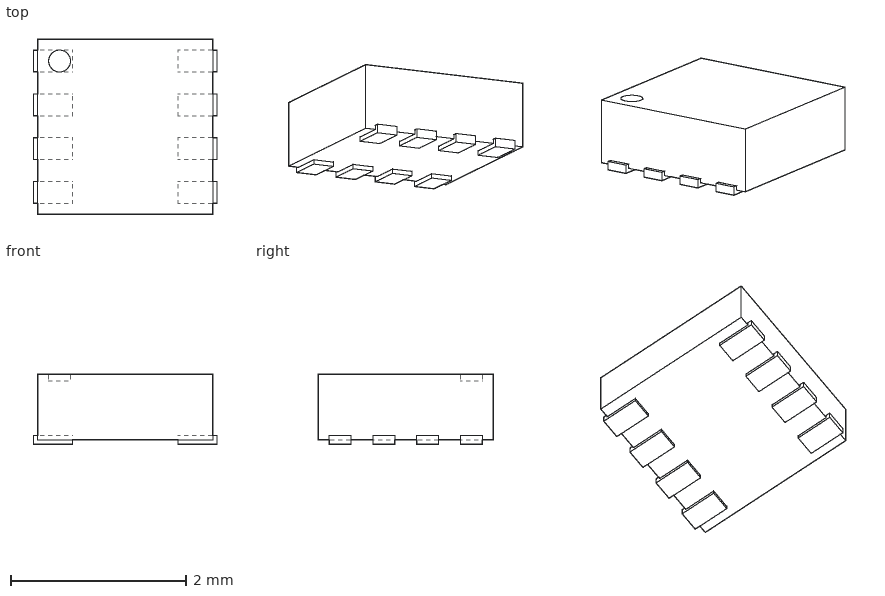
import cadquery as cq

overall_length = 2.1
body_side = 2.0
overall_height = 0.8
standoff = 0.05
body_height = overall_height - standoff

lead_length = 0.45
lead_width = 0.25
lead_height = 0.1
lead_pitch = 0.5
leads_per_side = 4

mark_diameter = 0.25
mark_depth = 0.075
mark_offset = lead_pitch * (leads_per_side - 1) / 2

lead_center_x = (overall_length - lead_length) / 2
lead_positions = [
    (side * lead_center_x, (index - (leads_per_side - 1) / 2) * lead_pitch)
    for side in (-1, 1)
    for index in range(leads_per_side)
]


def make_lead(x, y):
    """Flat rectangular lead resting on the seating plane."""
    return (
        cq.Workplane("XY")
        .center(x, y)
        .rect(lead_length, lead_width)
        .extrude(lead_height)
    )


def make_body(leads):
    """Square block with a round pin-one recess and a pocket for each lead."""
    body = (
        cq.Workplane("XY")
        .workplane(offset=standoff)
        .rect(body_side, body_side)
        .extrude(body_height)
    )
    mark = (
        cq.Workplane("XY")
        .workplane(offset=overall_height - mark_depth)
        .center(-mark_offset, mark_offset)
        .circle(mark_diameter / 2)
        .extrude(mark_depth)
    )
    body = body.cut(mark)
    for lead in leads:
        body = body.cut(lead)
    return body


leads = [make_lead(x, y) for x, y in lead_positions]
body = make_body(leads)

result = cq.Compound.makeCompound([body.val(), *[lead.val() for lead in leads]])